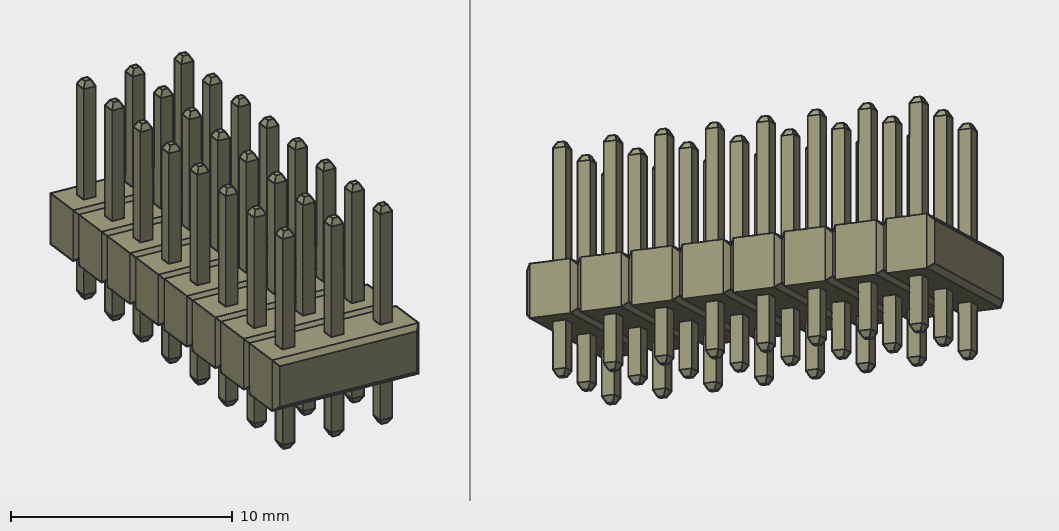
import cadquery as cq

column_count = 8
row_count = 3
pitch = 2.55

block_length = pitch
block_width = row_count * pitch
block_height = pitch
edge_chamfer = pitch / 10

pin_size = pitch / 4
pin_above_body = 5.83
pin_below_body = 2.55
tip_height = 0.3
tip_size = 0.3


def centred_positions(count):
    """Positions one pitch apart, centred on zero."""
    return [(i - (count - 1) / 2) * pitch for i in range(count)]


def make_block():
    """Block standing on Z = 0, chamfered all round its -X and +X faces."""
    return (
        cq.Workplane("XY")
        .box(block_length, block_width, block_height, centered=(True, True, False))
        .faces("<X or >X")
        .chamfer(edge_chamfer)
    )


def make_tip():
    """Square frustum narrowing upwards from Z = 0."""
    return (
        cq.Workplane("XY")
        .rect(pin_size, pin_size)
        .workplane(offset=tip_height)
        .rect(tip_size, tip_size)
        .loft(ruled=True)
    )


def make_pin():
    """Pin passing through the body, with a tip at each end."""
    shank_bottom = tip_height - pin_below_body
    shank_top = block_height + pin_above_body - tip_height
    shank = (
        cq.Workplane("XY")
        .workplane(offset=shank_bottom)
        .rect(pin_size, pin_size)
        .extrude(shank_top - shank_bottom)
    )
    top_tip = make_tip().translate((0, 0, shank_top))
    bottom_tip = make_tip().mirror("XY").translate((0, 0, shank_bottom))
    return shank.union(top_tip).union(bottom_tip)


block = make_block()
pin = make_pin()

result = cq.Workplane("XY")
for x in centred_positions(column_count):
    result = result.union(block.translate((x, 0, 0)))
for x in centred_positions(column_count):
    for y in centred_positions(row_count):
        result = result.union(pin.translate((x, y, 0)))